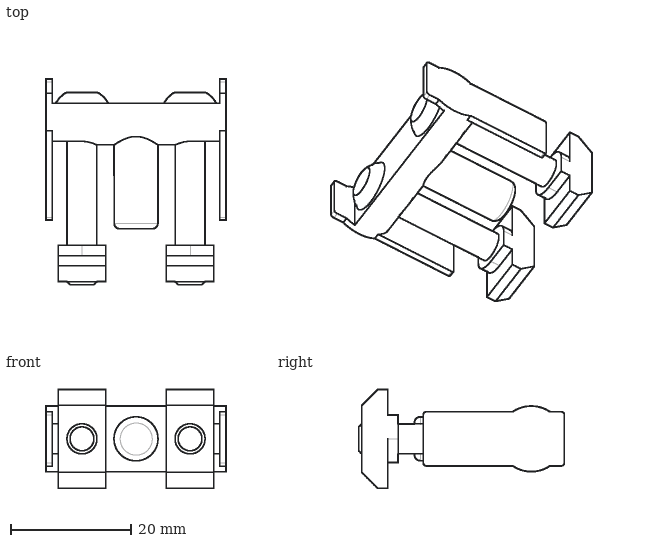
import cadquery as cq
import math

total_width = 30.0
plate_back = 5.52
total_length = 34.27
bolt_tip = plate_back - total_length

tube_radius = 5.5
back_flat = 1.47

plate_thickness = 1.05
plate_front = -18.0
plate_height = 9.05
plate_corner_radius = 0.5
tube_length = total_width - 2 * plate_thickness

pin_radius = 3.65
pin_tip = -19.45
pin_edge_radius = 1.0

bolt_spacing = 18.0
bolt_radius = 2.5
bolt_chamfer = 0.5
head_radius = 4.4
head_top_radius = 2.57
head_height = 1.8
head_bulge = 0.15

nut_width = 7.95
nut_height = 16.5
nut_chamfer = 2.67
nut_front = -28.25
nut_back = -23.9
collar_back = -22.17


def rod(radius, back, front):
    """Cylinder along Y, running from back to front (back > front)."""
    return cq.Workplane("XZ", origin=(0, back, 0)).circle(radius).extrude(back - front)


def block(size_x, size_z, back, front):
    """Box centred on the Y axis, running from back to front."""
    return cq.Workplane("XZ", origin=(0, back, 0)).rect(size_x, size_z).extrude(back - front)


def cross_tube():
    tube = cq.Workplane("YZ").circle(tube_radius).extrude(tube_length / 2, both=True)
    tube = tube.cut(block(tube_length, 2 * tube_radius, tube_radius, back_flat))

    front_flat = -math.sqrt(tube_radius**2 - bolt_radius**2)
    flat_length = (tube_length - bolt_spacing) / 2
    flat_center = (tube_length + bolt_spacing) / 4
    flat_cut = block(flat_length, 2 * bolt_radius, front_flat, -tube_radius)
    for side in (-1, 1):
        tube = tube.cut(flat_cut.translate((side * flat_center, 0, 0)))
    return tube


def side_plate():
    """Rounded rectangle with a round bulge concentric with the tube, centred on X = 0."""
    plate = (
        cq.Workplane("YZ")
        .center((plate_back + plate_front) / 2, 0)
        .rect(plate_back - plate_front, plate_height)
        .extrude(plate_thickness / 2, both=True)
        .edges("|X")
        .fillet(plate_corner_radius)
    )
    bulge = cq.Workplane("YZ").circle(tube_radius).extrude(plate_thickness / 2, both=True)
    return plate.union(bulge)


def center_pin():
    return rod(pin_radius, 0, pin_tip).faces("<Y").edges().fillet(pin_edge_radius)


def bolt():
    """Shank with a chamfered tip and a domed head seated on the back flat of the tube."""
    shank = rod(bolt_radius, back_flat, bolt_tip).faces("<Y").edges().chamfer(bolt_chamfer)
    head_top = back_flat + head_height
    dome_middle_radius = (head_radius + head_top_radius) / 2 + head_bulge
    dome_middle_y = back_flat + head_height / 2 + head_bulge
    head = (
        cq.Workplane("XY")
        .moveTo(0, back_flat)
        .lineTo(head_radius, back_flat)
        .threePointArc((dome_middle_radius, dome_middle_y), (head_top_radius, head_top))
        .lineTo(0, head_top)
        .close()
        .revolve(360, (0, 0, 0), (0, 1, 0))
    )
    return shank.union(head)


def t_nut():
    """Chamfered bar with a square collar that is rounded on two opposite corners."""
    bar = block(nut_width, nut_height, nut_back, nut_front)
    bar = bar.faces("<Y").edges("|X").chamfer(nut_chamfer)
    half_width = nut_width / 2
    collar = rod(half_width, collar_back, nut_back)
    corner = block(half_width, half_width, collar_back, nut_back)
    for side in (-1, 1):
        offset = side * half_width / 2
        collar = collar.union(corner.translate((offset, 0, offset)))
    return bar.union(collar)


result = cross_tube().union(center_pin())
bolt_with_nut = bolt().union(t_nut())
plate = side_plate()
plate_offset = (total_width - plate_thickness) / 2
for side in (-1, 1):
    result = result.union(plate.translate((side * plate_offset, 0, 0)))
    result = result.union(bolt_with_nut.translate((side * bolt_spacing / 2, 0, 0)))